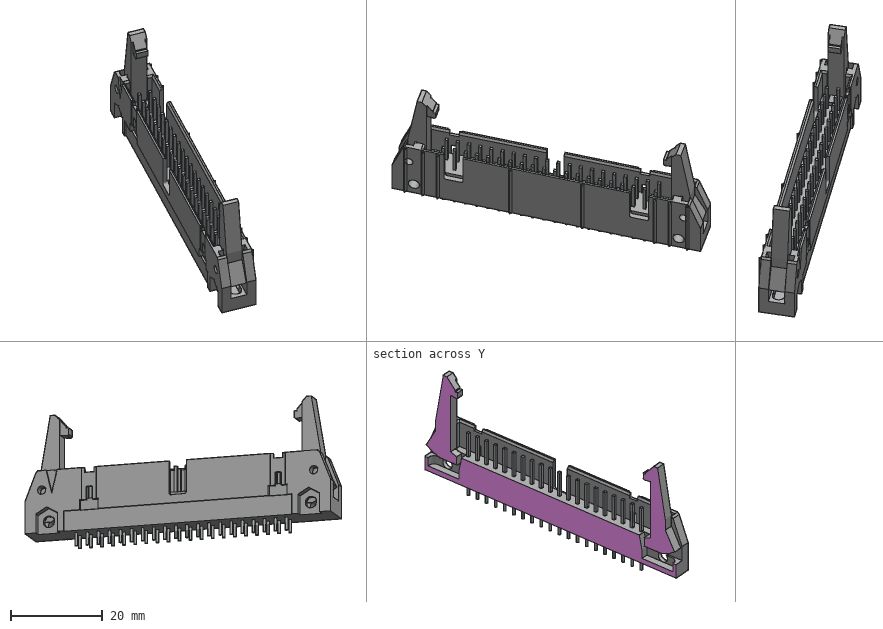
import cadquery as cq
import math

BODY_LENGTH = 70.1
BODY_WIDTH = 8.0
BODY_HEIGHT = 13.95
HALF_LENGTH = BODY_LENGTH / 2
HALF_WIDTH = BODY_WIDTH / 2
SHOULDER_HEIGHT = 7.2
TOP_HALF_LENGTH = 32.1
TOP_BEVEL_RUN = 0.45
TOP_BEVEL_DROP = 0.45

PIN_PITCH = 2.54
PIN_COLUMNS = 20
PIN_ROWS = 2
PIN_SIDE = 0.64
TAIL_DIAMETER = 0.62
PIN_TIP = 13.3
PIN_TAIL = 2.87

CAVITY_HALF_LENGTH = 28.05
WALL = 0.9
CAVITY_FLOOR = 7.2
CAVITY_WIDTH = BODY_WIDTH - 2 * WALL
LIP_BEVEL = 0.45

KEY_WIDTH = 4.0
KEY_FLOOR = 6.35
KEY_DEPTH = 1.27
SLOT_FILLET = 0.5

GAP_X = 21.08
GAP_WIDTH = 4.3
GAP_DEPTH = 1.14
GAP_FLOOR = KEY_FLOOR

PANEL_CENTRES = (-20.4, 22.93)
PANEL_WIDTH = 3.4
PANEL_BOTTOM = 6.77
PANEL_DEPTH = 0.25
NOTCH_WIDTH = 2.15
NOTCH_FLOOR = 12.9
WINDOW_WIDTH = 1.47
WINDOW_TOP = 9.75
WINDOW_FILLET = 0.4
UNDERCUT_WIDTH = 4.3
UNDERCUT_DEPTH = WALL

STRIP_HALF_LENGTH = 26.15
STRIP_HEIGHT = 4.5
STRIP_DEPTH = 0.4

MARK_X = -28.93
MARK_WIDTH = 2.5
MARK_TIP = 8.8
MARK_DEPTH = 0.4

MOUNT_X = 30.05
MOUNT_Z = 2.7
MOUNT_DIAMETER = 2.54
NUT_WIDTH = 4.95
NUT_SHOULDER = 4.25
NUT_DEPTH = 1.6
NUT_PEAK = NUT_SHOULDER + NUT_WIDTH / 2 * math.tan(math.radians(30))

LATCH_WIDTH = 3.65
TAB_WIDTH = 2.75
LATCH_TOP = 26.72
LATCH_TIP_X = 28.85
LATCH_TIP_OUTER_X = 29.95
LATCH_BEND_TOP = 14.1
LATCH_BEND_BOTTOM = 11.4
HEEL_X = 34.7
HEEL_Z = 6.7
HEEL_UNDERSIDE_X = 33.0
HEEL_UNDERSIDE_Z = 5.55
SOLE_X = 31.0
SOLE_Z = 4.75
HOOK_TOP = 24.1
HOOK_X = 26.5
BARB_X = 25.85
BARB_TOP = 23.75
BARB_BOTTOM = 22.3
BARB_CORNER_X = 26.2
BARB_CORNER_Z = 22.0
HOOK_ROOT_Z = 22.2
FOOT_X = 26.1
FOOT_TOP = 7.0
FOOT_ROOT_Z = 7.6
LATCH_INNER_X = 27.8
LATCH_OUTER_X = 32.1
SLOT_FLOOR = 3.57
PIT_OUTER_X = 34.1
PIT_FLOOR = MOUNT_Z - MOUNT_DIAMETER / 2
SLOT_RAMP_FOOT_X = 25.6
SLOT_RAMP_TOP_X = 24.85
CLEARANCE_WIDTH = 4.1
CLEARANCE_OUTER_X = 30.0
PIVOT_X = 31.2
PIVOT_Z = 9.53
PIVOT_DIAMETER = 1.85
LEAD_IN_WIDTH = 1.6
LEAD_IN_TOP_SPAN = 6.2
LEAD_IN_BOTTOM_SPAN = 4.6
LEAD_IN_BOTTOM = PIVOT_Z + PIVOT_DIAMETER / 2

RIB_X = (8.2, 24.66, 28.05, 32.07)
RIB_WIDTH = 0.8
RIB_HEIGHT = 0.53
RIB_BOTTOM = 0.1
RIB_TOP = BODY_HEIGHT - TOP_BEVEL_DROP

SIDES = (-1, 1)


def block(x_min, x_max, y_min, y_max, z_min, z_max):
    """Box between opposite corners."""
    size = (x_max - x_min, y_max - y_min, z_max - z_min)
    return cq.Workplane("XY").box(*size, centered=False).translate((x_min, y_min, z_min))


def plate(points, y_min, y_max):
    """Prism along Y over an outline of (x, z) points."""
    outline = cq.Workplane("XZ", origin=(0, y_max, 0)).polyline(points).close()
    return outline.extrude(y_max - y_min)


def mirrored(points, side):
    """The outline for one end; points are given for the +X end."""
    return [(side * x, z) for x, z in points]


def cylinder(x, z, diameter):
    """Round bar right across the body along Y."""
    start = cq.Workplane("XZ", origin=(x, HALF_WIDTH, z))
    return start.circle(diameter / 2).extrude(BODY_WIDTH)


def shell():
    right_half = [
        (HALF_LENGTH, 0),
        (HALF_LENGTH, SHOULDER_HEIGHT),
        (TOP_HALF_LENGTH + TOP_BEVEL_RUN, BODY_HEIGHT - TOP_BEVEL_DROP),
        (TOP_HALF_LENGTH, BODY_HEIGHT),
    ]
    left_half = mirrored(reversed(right_half), -1)
    return plate(right_half + left_half, -HALF_WIDTH, HALF_WIDTH)


def cavity():
    inner = block(-CAVITY_HALF_LENGTH, CAVITY_HALF_LENGTH, -CAVITY_WIDTH / 2, CAVITY_WIDTH / 2,
                  CAVITY_FLOOR, BODY_HEIGHT)
    mouth_length = 2 * (CAVITY_HALF_LENGTH + LIP_BEVEL)
    mouth_width = CAVITY_WIDTH + 2 * LIP_BEVEL
    mouth = cq.Workplane("XY", origin=(0, 0, BODY_HEIGHT)).rect(mouth_length, mouth_width)
    return inner.union(mouth.extrude(-LIP_BEVEL, taper=45))


def key_slot():
    slot = block(-KEY_WIDTH / 2, KEY_WIDTH / 2, -HALF_WIDTH, KEY_DEPTH - HALF_WIDTH,
                 KEY_FLOOR, BODY_HEIGHT)
    return slot.edges("|Y and <Z").fillet(SLOT_FILLET)


def back_gap(x):
    gap = block(x - GAP_WIDTH / 2, x + GAP_WIDTH / 2, HALF_WIDTH - GAP_DEPTH, HALF_WIDTH,
                GAP_FLOOR, BODY_HEIGHT)
    return gap.edges("|Y and <Z").fillet(SLOT_FILLET)


def front_panel(x):
    """Recess with a notch above, and a window down into a deeper pocket below."""
    face = -HALF_WIDTH
    inside = WALL - HALF_WIDTH
    recess = block(x - PANEL_WIDTH / 2, x + PANEL_WIDTH / 2, face, face + PANEL_DEPTH,
                   PANEL_BOTTOM, BODY_HEIGHT)
    undercut = block(x - UNDERCUT_WIDTH / 2, x + UNDERCUT_WIDTH / 2, face, face + UNDERCUT_DEPTH,
                     STRIP_HEIGHT, PANEL_BOTTOM)
    notch = block(x - NOTCH_WIDTH / 2, x + NOTCH_WIDTH / 2, face, inside, NOTCH_FLOOR, BODY_HEIGHT)
    window = block(x - WINDOW_WIDTH / 2, x + WINDOW_WIDTH / 2, face, face + UNDERCUT_DEPTH,
                   PANEL_BOTTOM, WINDOW_TOP)
    window = window.edges("|Y and >Z").fillet(WINDOW_FILLET)
    return recess.union(undercut).union(notch).union(window)


def bottom_strip():
    return block(-STRIP_HALF_LENGTH, STRIP_HALF_LENGTH, -HALF_WIDTH, STRIP_DEPTH - HALF_WIDTH,
                 0, STRIP_HEIGHT)


def first_pin_mark():
    triangle = [
        (MARK_X - MARK_WIDTH / 2, BODY_HEIGHT),
        (MARK_X + MARK_WIDTH / 2, BODY_HEIGHT),
        (MARK_X, MARK_TIP),
    ]
    return plate(triangle, -HALF_WIDTH, MARK_DEPTH - HALF_WIDTH)


def mounting(side):
    x = side * MOUNT_X
    half = NUT_WIDTH / 2
    outline = [
        (x - half, 0),
        (x + half, 0),
        (x + half, NUT_SHOULDER),
        (x, NUT_PEAK),
        (x - half, NUT_SHOULDER),
    ]
    pocket = plate(outline, -HALF_WIDTH, NUT_DEPTH - HALF_WIDTH)
    return pocket.union(cylinder(x, MOUNT_Z, MOUNT_DIAMETER))


def lead_in(side):
    """Tapered groove in both cheeks above the pivot holes."""
    x_min = side * PIVOT_X - LEAD_IN_WIDTH / 2
    outline = [
        (-LEAD_IN_TOP_SPAN / 2, BODY_HEIGHT),
        (LEAD_IN_TOP_SPAN / 2, BODY_HEIGHT),
        (LEAD_IN_BOTTOM_SPAN / 2, LEAD_IN_BOTTOM),
        (-LEAD_IN_BOTTOM_SPAN / 2, LEAD_IN_BOTTOM),
    ]
    return cq.Workplane("YZ", origin=(x_min, 0, 0)).polyline(outline).close().extrude(LEAD_IN_WIDTH)


def floor_pit(side):
    """Pit under the latch, with a half-round outer end."""
    radius = TAB_WIDTH / 2
    end_x = side * (PIT_OUTER_X - radius)
    x_min, x_max = sorted((end_x, side * SLOT_RAMP_FOOT_X))
    straight = block(x_min, x_max, -radius, radius, PIT_FLOOR, SLOT_FLOOR)
    outer_end = cq.Workplane("XY", origin=(end_x, 0, PIT_FLOOR)).circle(radius)
    return straight.union(outer_end.extrude(SLOT_FLOOR - PIT_FLOOR))


def latch_slot(side):
    """Slot through the end wall, its ramped narrow end, lead-ins and pivot holes."""
    wide = [
        (HALF_LENGTH, SLOT_FLOOR),
        (LATCH_INNER_X, SLOT_FLOOR),
        (LATCH_INNER_X, BODY_HEIGHT),
        (HALF_LENGTH, BODY_HEIGHT),
    ]
    narrow = [
        (LATCH_INNER_X, SLOT_FLOOR),
        (SLOT_RAMP_FOOT_X, SLOT_FLOOR),
        (SLOT_RAMP_TOP_X, CAVITY_FLOOR),
        (LATCH_INNER_X, CAVITY_FLOOR),
    ]
    clearance = [
        (CAVITY_HALF_LENGTH, CAVITY_FLOOR),
        (CLEARANCE_OUTER_X, CAVITY_FLOOR),
        (CLEARANCE_OUTER_X, BODY_HEIGHT),
        (CAVITY_HALF_LENGTH, BODY_HEIGHT),
    ]
    slot = plate(mirrored(wide, side), -LATCH_WIDTH / 2, LATCH_WIDTH / 2)
    slot = slot.union(plate(mirrored(narrow, side), -TAB_WIDTH / 2, TAB_WIDTH / 2))
    slot = slot.union(plate(mirrored(clearance, side), -CLEARANCE_WIDTH / 2, CLEARANCE_WIDTH / 2))
    slot = slot.union(lead_in(side))
    slot = slot.union(floor_pit(side))
    return slot.union(cylinder(side * PIVOT_X, PIVOT_Z, PIVOT_DIAMETER))


def latch(side):
    """Lever with a hook at the top and a foot at the bottom."""
    slope = (LATCH_TOP - HOOK_TOP) / (LATCH_TIP_X - HOOK_X)
    slope_z = HOOK_TOP + slope * (LATCH_INNER_X - HOOK_X)
    lever = [
        (LATCH_TIP_OUTER_X, LATCH_TOP),
        (LATCH_TIP_X, LATCH_TOP),
        (LATCH_INNER_X, slope_z),
        (LATCH_INNER_X, SOLE_Z),
        (SOLE_X, SOLE_Z),
        (HEEL_UNDERSIDE_X, HEEL_UNDERSIDE_Z),
        (HEEL_X, HEEL_Z),
        (LATCH_OUTER_X, LATCH_BEND_BOTTOM),
        (LATCH_OUTER_X, LATCH_BEND_TOP),
    ]
    hook = [
        (LATCH_INNER_X, slope_z),
        (HOOK_X, HOOK_TOP),
        (HOOK_X, BARB_TOP),
        (BARB_X, BARB_TOP),
        (BARB_X, BARB_BOTTOM),
        (BARB_CORNER_X, BARB_CORNER_Z),
        (LATCH_INNER_X, HOOK_ROOT_Z),
    ]
    foot = [
        (LATCH_INNER_X, FOOT_ROOT_Z),
        (FOOT_X, FOOT_TOP),
        (FOOT_X, SOLE_Z),
        (LATCH_INNER_X, SOLE_Z),
    ]
    solid = plate(mirrored(lever, side), -LATCH_WIDTH / 2, LATCH_WIDTH / 2)
    for tab in (hook, foot):
        solid = solid.union(plate(mirrored(tab, side), -TAB_WIDTH / 2, TAB_WIDTH / 2))
    return solid


def pins():
    grid = cq.Workplane("XY").rarray(PIN_PITCH, PIN_PITCH, PIN_COLUMNS, PIN_ROWS)
    contacts = grid.rect(PIN_SIDE, PIN_SIDE).extrude(PIN_TIP)
    tails = grid.circle(TAIL_DIAMETER / 2).extrude(-PIN_TAIL)
    return contacts.union(tails)


def crush_rib(x):
    triangle = [
        (x - RIB_WIDTH / 2, HALF_WIDTH),
        (x + RIB_WIDTH / 2, HALF_WIDTH),
        (x, HALF_WIDTH + RIB_HEIGHT),
    ]
    base = cq.Workplane("XY", origin=(0, 0, RIB_BOTTOM))
    return base.polyline(triangle).close().extrude(RIB_TOP - RIB_BOTTOM)


body = shell().cut(cavity()).cut(key_slot()).cut(bottom_strip()).cut(first_pin_mark())
for panel_x in PANEL_CENTRES:
    body = body.cut(front_panel(panel_x))
for end in SIDES:
    body = body.cut(back_gap(end * GAP_X)).cut(latch_slot(end)).cut(mounting(end))
    for rib_x in RIB_X:
        body = body.union(crush_rib(end * rib_x))
    body = body.union(latch(end))

result = body.union(pins())